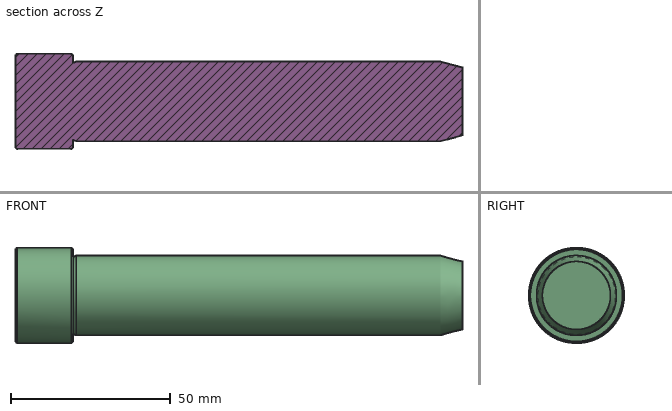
import cadquery as cq
import math

total_length = 140.0
head_diameter = 30.0
head_length = 18.0
head_chamfer = 0.5
shank_diameter = 25.0
relief_depth = 0.4
relief_length = 1.0
tip_length = 7.0
tip_angle = 15.0

head_radius = head_diameter / 2
shank_radius = shank_diameter / 2
neck_radius = shank_radius - relief_depth
tip_radius = shank_radius - tip_length * math.tan(math.radians(tip_angle))

half_section = (
    cq.Workplane("XY")
    .moveTo(0, 0)
    .lineTo(0, head_radius - head_chamfer)
    .lineTo(head_chamfer, head_radius)
    .lineTo(head_length - head_chamfer, head_radius)
    .lineTo(head_length, head_radius - head_chamfer)
    .lineTo(head_length, neck_radius)
    .lineTo(head_length + relief_length, shank_radius)
    .lineTo(total_length - tip_length, shank_radius)
    .lineTo(total_length, tip_radius)
    .lineTo(total_length, 0)
    .close()
)
pin = half_section.revolve(360, (0, 0, 0), (1, 0, 0))
result = pin.translate((-total_length / 2, 0, 0))